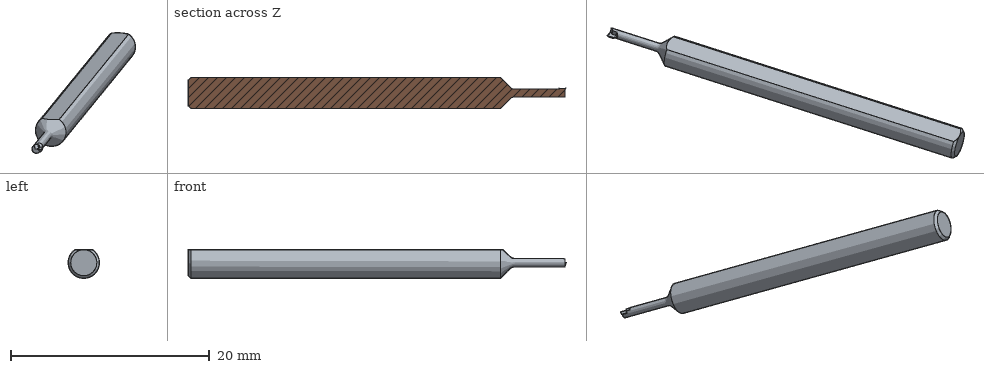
import cadquery as cq
import math

TOTAL_LENGTH = 38.1
SHANK_DIAMETER = 3.15
SHANK_HEIGHT = 2.9
SHANK_LENGTH = 31.47
SHANK_CHAMFER = 0.25
NECK_DIAMETER = 0.88
NECK_END = 38.0
CONE_ANGLE = 45.0
CONE_FILLET = 0.65

TOOTH_REACH = 0.55
TOOTH_BACK = 37.35
TOOTH_ROOT = 0.2
TOOTH_DEPTH = 0.25
TOOTH_CLEARANCE = 15.0
POCKET_BACK = 37.05
POCKET_WALL = 0.2
POCKET_TURN = 37.7
POCKET_END_DROP = 0.3
POCKET_WALL_LEAN = 15.0

shank_radius = SHANK_DIAMETER / 2
neck_radius = NECK_DIAMETER / 2
flat_z = SHANK_HEIGHT - shank_radius


def turned_body():
    """Shank, cone and neck, with the cone running smoothly into the neck."""
    angle = math.radians(CONE_ANGLE)
    cone_end = SHANK_LENGTH + (shank_radius - neck_radius) / math.tan(angle)
    tangent = CONE_FILLET * math.tan(angle / 2)
    fillet_start = (cone_end - tangent * math.cos(angle), neck_radius + tangent * math.sin(angle))
    fillet_end = (cone_end + tangent, neck_radius)
    fillet_middle = (
        fillet_end[0] - CONE_FILLET * math.sin(angle / 2),
        neck_radius + CONE_FILLET * (1 - math.cos(angle / 2)),
    )
    return (
        cq.Workplane("XY")
        .moveTo(0, 0)
        .lineTo(0, shank_radius - SHANK_CHAMFER)
        .lineTo(SHANK_CHAMFER, shank_radius)
        .lineTo(SHANK_LENGTH, shank_radius)
        .lineTo(*fillet_start)
        .threePointArc(fillet_middle, fillet_end)
        .lineTo(NECK_END, neck_radius)
        .lineTo(NECK_END, 0)
        .close()
        .revolve(360, (0, 0, 0), (1, 0, 0))
    )


def shank_flat():
    """Material above the flat along the top of the shank."""
    return (
        cq.Workplane("XY")
        .box(TOTAL_LENGTH, SHANK_DIAMETER, shank_radius, centered=(False, True, False))
        .translate((0, 0, flat_z))
    )


def chip_pocket():
    """Space above the rake face, with leaning walls that open upward."""
    floor_outline = [
        (POCKET_BACK, neck_radius),
        (POCKET_BACK + neck_radius - POCKET_WALL, POCKET_WALL),
        (POCKET_TURN, POCKET_WALL),
        (NECK_END, POCKET_WALL - POCKET_END_DROP),
        (TOTAL_LENGTH, POCKET_WALL - POCKET_END_DROP),
        (TOTAL_LENGTH, neck_radius),
    ]
    return (
        cq.Workplane("XY")
        .polyline(floor_outline)
        .close()
        .extrude(neck_radius, taper=-POCKET_WALL_LEAN)
    )


def cutting_tooth():
    """Pointed tooth below the rake face, narrowing downward for clearance."""
    outline = [
        (TOOTH_BACK, TOOTH_ROOT),
        (TOOTH_BACK, TOOTH_REACH),
        (TOTAL_LENGTH, TOOTH_REACH),
        (NECK_END, TOOTH_ROOT),
    ]
    return (
        cq.Workplane("XY")
        .polyline(outline)
        .close()
        .extrude(-TOOTH_DEPTH, taper=TOOTH_CLEARANCE)
    )


result = turned_body().cut(shank_flat()).cut(chip_pocket()).union(cutting_tooth())